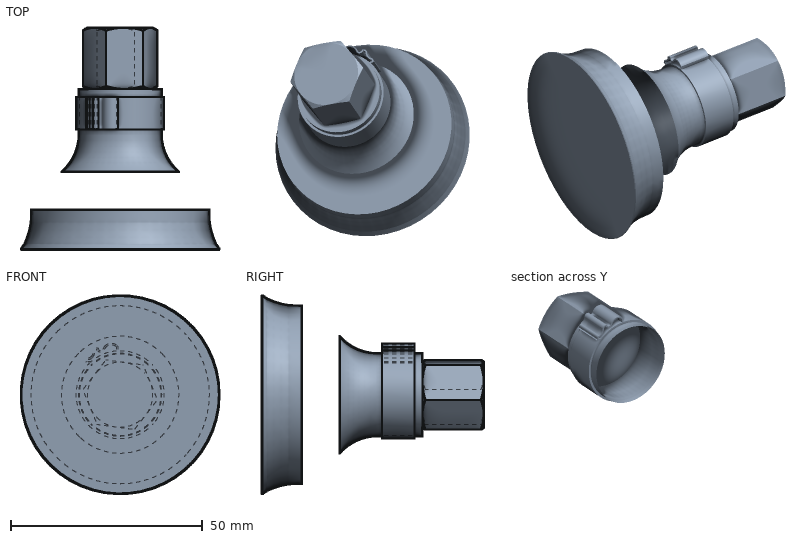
import cadquery as cq
import math

overall_length = 57.92

disc_front_radius = 25.75
disc_rim_radius = 25.92
disc_edge_width = 0.2
disc_lip_y = 1.4
disc_lip_radius = 25.05
disc_waist_y = 7.0
disc_waist_radius = 23.37
disc_back_y = 10.45
disc_back_radius = 23.25
disc_flare_sag = 0.23

hex_across_flats = 17.0
hex_length = 16.0
hex_turn = 7.7
hex_chamfer_angle = 30.0
hex_circumradius = hex_across_flats / math.sqrt(3)

hub_radius = 21.7 / 2
hub_back_y = overall_length - hex_length
skirt_length = 9.75
skirt_radius = 15.3
skirt_front_y = 20.3
skirt_back_y = skirt_front_y + skirt_length
wall_thickness = 0.2

band_radius = 11.48
band_front_y = 31.4
band_width = 8.5
ear_sheet_thickness = 0.4
band_back_y = band_front_y + band_width


def revolve_about_y(profile):
    """Turn a closed (radius, Y) profile fully about the Y axis."""
    return profile.close().revolve(360, (0, 0, 0), (0, 1, 0))


def tangent_flare_midpoint(neck_radius):
    """Middle of the arc that leaves the neck along Y and ends on the skirt rim."""
    rise = skirt_radius - neck_radius
    arc_radius = (skirt_length**2 + rise**2) / (2 * rise)
    half_angle = math.asin(skirt_length / arc_radius) / 2
    radius = neck_radius + arc_radius * (1 - math.cos(half_angle))
    return radius, skirt_back_y - arc_radius * math.sin(half_angle)


def make_disc():
    flare_middle = (
        (disc_lip_radius + disc_waist_radius) / 2 - disc_flare_sag,
        (disc_lip_y + disc_waist_y) / 2,
    )
    profile = (
        cq.Workplane("XY")
        .lineTo(disc_front_radius, 0)
        .lineTo(disc_rim_radius, disc_edge_width)
        .lineTo(disc_lip_radius, disc_lip_y)
        .threePointArc(flare_middle, (disc_waist_radius, disc_waist_y))
        .lineTo(disc_back_radius, disc_back_y)
        .lineTo(0, disc_back_y)
    )
    return revolve_about_y(profile)


def make_hub():
    """Thin-walled cup: the flared skirt ends in a sharp rim and the back is closed."""
    inner_radius = hub_radius - wall_thickness
    profile = (
        cq.Workplane("XY")
        .moveTo(0, hub_back_y)
        .lineTo(hub_radius, hub_back_y)
        .lineTo(hub_radius, skirt_back_y)
        .threePointArc(tangent_flare_midpoint(hub_radius), (skirt_radius, skirt_front_y))
        .threePointArc(tangent_flare_midpoint(inner_radius), (inner_radius, skirt_back_y))
        .lineTo(inner_radius, band_back_y)
        .lineTo(0, band_back_y)
    )
    return revolve_about_y(profile)


def make_hexagon():
    """Hexagonal bar whose corners are chamfered by a cone at both ends."""
    bar = (
        cq.Workplane("XZ", origin=(0, overall_length, 0))
        .polygon(6, 2 * hex_circumradius)
        .extrude(hex_length)
        .rotate((0, 0, 0), (0, 1, 0), hex_turn)
    )
    end_radius = hex_across_flats / 2
    chamfer_length = (hex_circumradius - end_radius) * math.tan(math.radians(hex_chamfer_angle))
    envelope = (
        cq.Workplane("XY")
        .moveTo(0, hub_back_y)
        .lineTo(end_radius, hub_back_y)
        .lineTo(hex_circumradius, hub_back_y + chamfer_length)
        .lineTo(hex_circumradius, overall_length - chamfer_length)
        .lineTo(end_radius, overall_length)
        .lineTo(0, overall_length)
    )
    return bar.intersect(revolve_about_y(envelope))


def band_plane():
    """Section plane at the back of the band: X right, Z up, extruding toward the front."""
    return cq.Workplane("XZ", origin=(0, band_back_y, 0))


def make_band():
    return band_plane().circle(band_radius).circle(hub_radius).extrude(band_width)


def point_on_circle(radius, x):
    """Point of the upper half of a circle about the Y axis, at the given X."""
    return x, math.sqrt(radius**2 - x**2)


def make_band_ear():
    """Folded sheet closure: a large lobe, a ridge, a hollow and a curled lip on a short foot.

    The sheet is hollow along Y; its floor lies inside the band's thickness.
    """
    floor_radius = hub_radius + wall_thickness / 2
    lobe_x = -0.5
    lobe_start = (lobe_x, 12.5)
    lobe_top = (-2.6, 13.4)
    lobe_end = (-4.5, 11.8)
    valley = (-4.95, 11.5)
    ridge_top = (-5.7, 12.1)
    ridge_side = (-6.7, 11.9)
    ridge_end = (-7.05, 11.4)
    hollow = (-7.3, 10.3)
    lip_start = (-8.05, 9.6)
    lip_side = (-8.65, 9.25)
    lip_end = (-8.6, 8.6)
    foot_tip = (-8.95, 8.5)
    foot_x = -7.4
    outline = (
        band_plane()
        .moveTo(*point_on_circle(floor_radius, lobe_x))
        .lineTo(*lobe_start)
        .threePointArc(lobe_top, lobe_end)
        .threePointArc(valley, ridge_top)
        .threePointArc(ridge_side, ridge_end)
        .threePointArc(hollow, lip_start)
        .threePointArc(lip_side, lip_end)
        .lineTo(*foot_tip)
        .lineTo(*point_on_circle(floor_radius, foot_x))
        .threePointArc(
            point_on_circle(floor_radius, (foot_x + lobe_x) / 2),
            point_on_circle(floor_radius, lobe_x),
        )
        .close()
    )
    inside = outline.offset2D(-ear_sheet_thickness).extrude(band_width)
    return outline.toPending().extrude(band_width).cut(inside)


sealing_disc = make_disc()
fitting = make_hub().union(make_hexagon()).union(make_band()).union(make_band_ear())

result = cq.Compound.makeCompound([sealing_disc.val(), *fitting.solids().vals()])